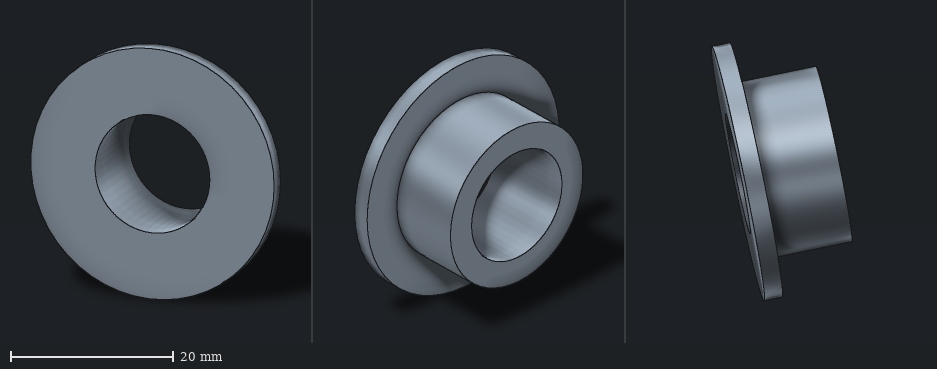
import cadquery as cq

flange_diameter = 32.1
barrel_diameter = 22.15
bore_diameter = 15.1
total_length = 12.1
flange_thickness = 2.3

flange = cq.Workplane("XZ").circle(flange_diameter / 2).extrude(-flange_thickness)
barrel = cq.Workplane("XZ").circle(barrel_diameter / 2).extrude(-total_length)
bore = cq.Workplane("XZ").circle(bore_diameter / 2).extrude(-total_length)

result = flange.union(barrel).cut(bore)